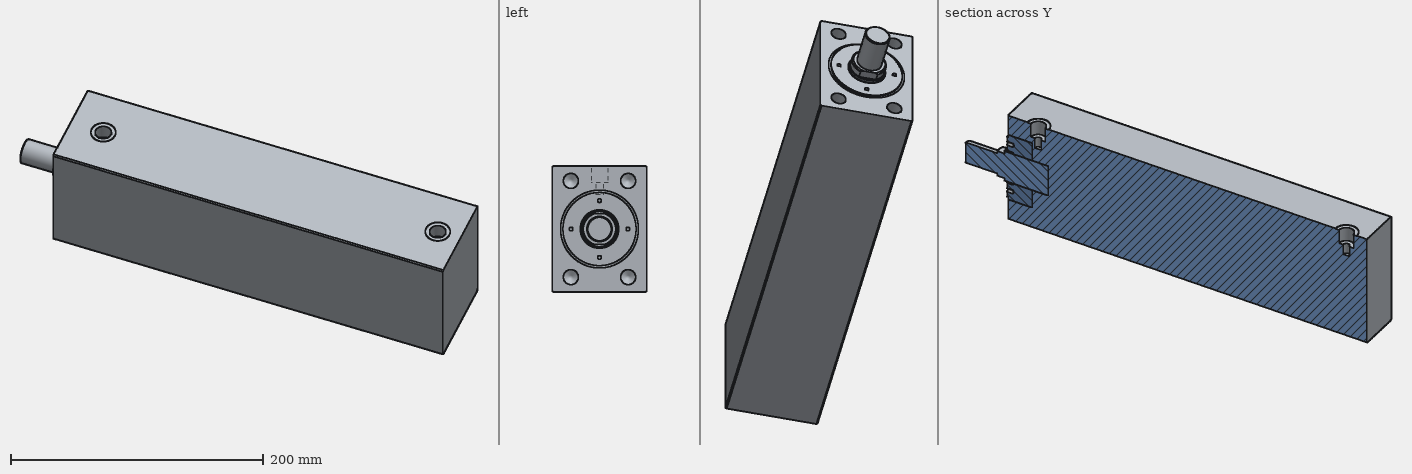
import cadquery as cq
import math

TOTAL_LENGTH = 372.0
HOUSING_WIDTH = 75.0
HOUSING_HEIGHT = 100.0
EDGE_CHAMFER = 1.0

ROD_DIAMETER = 28.0
ROD_STEP_CHAMFER = 1.0
STUD_DIAMETER = 20.0
STUD_LENGTH = 29.5
STUD_CHAMFER = 0.7
SPANNER_WIDTH = 24.0
SPANNER_LENGTH = 6.7
ROD_EMBEDDED_LENGTH = 37.2

GLAND_DIAMETER = 61.8
GLAND_FACE_DIAMETER = 58.0
GLAND_DEPTH = 22.5
GLAND_OVERHANG = 1.0
PIN_HOLE_DIAMETER = 3.0
PIN_HOLE_DEPTH = 5.5
PIN_HOLE_CIRCLE_DIAMETER = 45.0

WIPER_DIAMETER = 30.5
WIPER_DEPTH = 5.5
WIPER_LIP_DIAMETER = 29.0
WIPER_LIP_LENGTH = 2.2

MOUNT_HOLE_DIAMETER = 12.0
MOUNT_HOLE_DEPTH = 22.5
MOUNT_SPACING_Y = 45.5
MOUNT_SPACING_Z = 76.3
DRILL_TIP_ANGLE = 118.0

PORT_SEAT_DIAMETER = 19.7
PORT_SEAT_DEPTH = 0.5
PORT_THREAD_DIAMETER = 13.0
PORT_THREAD_DEPTH = 13.0
PORT_BORE_DIAMETER = 5.5
PORT_BORE_DEPTH = 22.5
FRONT_PORT_INSET = 28.0
REAR_PORT_INSET = 19.5

GLAND_FRONT_X = -GLAND_OVERHANG
WIPER_FRONT_X = GLAND_FRONT_X - WIPER_LIP_LENGTH
WIPER_BACK_X = GLAND_FRONT_X + WIPER_DEPTH
ROD_FRONT_X = WIPER_FRONT_X - SPANNER_LENGTH
STUD_FRONT_X = ROD_FRONT_X - STUD_LENGTH
HOUSING_LENGTH = TOTAL_LENGTH + STUD_FRONT_X


def cylinder_x(diameter, start_x, end_x):
    """Cylinder on the X axis."""
    return cq.Workplane("YZ", origin=(start_x, 0, 0)).circle(diameter / 2).extrude(end_x - start_x)


def drilled_hole(diameter, depth):
    """Blind hole cutter along +X from X = 0, with a conical drill tip."""
    radius = diameter / 2
    tip_length = radius / math.tan(math.radians(DRILL_TIP_ANGLE / 2))
    profile = [(0, 0), (0, radius), (depth, radius), (depth + tip_length, 0)]
    return cq.Workplane("XY").polyline(profile).close().revolve(360, (0, 0, 0), (1, 0, 0))


def port_cutter(x):
    """Stepped oil port going down from the housing top."""
    top = cq.Workplane("XY", origin=(x, 0, HOUSING_HEIGHT / 2))
    cutter = top.circle(PORT_SEAT_DIAMETER / 2).extrude(-PORT_SEAT_DEPTH)
    cutter = cutter.union(top.circle(PORT_THREAD_DIAMETER / 2).extrude(-PORT_THREAD_DEPTH))
    return cutter.union(top.circle(PORT_BORE_DIAMETER / 2).extrude(-PORT_BORE_DEPTH))


def make_housing():
    body = cq.Workplane("YZ").rect(HOUSING_WIDTH, HOUSING_HEIGHT).extrude(HOUSING_LENGTH)
    body = body.edges("|X").chamfer(EDGE_CHAMFER)
    body = body.cut(cylinder_x(GLAND_DIAMETER, 0, GLAND_DEPTH))
    body = body.cut(cylinder_x(ROD_DIAMETER, 0, ROD_EMBEDDED_LENGTH))
    mount_hole = drilled_hole(MOUNT_HOLE_DIAMETER, MOUNT_HOLE_DEPTH)
    for side_y in (-1, 1):
        for side_z in (-1, 1):
            place = (0, side_y * MOUNT_SPACING_Y / 2, side_z * MOUNT_SPACING_Z / 2)
            body = body.cut(mount_hole.translate(place))
    for port_x in (FRONT_PORT_INSET, HOUSING_LENGTH - REAR_PORT_INSET):
        body = body.cut(port_cutter(port_x))
    return body


def make_gland():
    body = cylinder_x(GLAND_DIAMETER, 0, GLAND_DEPTH)
    body = body.union(cylinder_x(GLAND_FACE_DIAMETER, GLAND_FRONT_X, 0))
    body = body.cut(cylinder_x(ROD_DIAMETER, GLAND_FRONT_X, GLAND_DEPTH))
    body = body.cut(cylinder_x(WIPER_DIAMETER, GLAND_FRONT_X, WIPER_BACK_X))
    pin_hole = drilled_hole(PIN_HOLE_DIAMETER, PIN_HOLE_DEPTH)
    first_hole = pin_hole.translate((GLAND_FRONT_X, PIN_HOLE_CIRCLE_DIAMETER / 2, 0))
    for angle in (0, 90, 180, 270):
        body = body.cut(first_hole.rotate((0, 0, 0), (1, 0, 0), angle))
    return body


def make_wiper():
    ring = cylinder_x(WIPER_DIAMETER, GLAND_FRONT_X, WIPER_BACK_X)
    ring = ring.union(cylinder_x(WIPER_LIP_DIAMETER, WIPER_FRONT_X, GLAND_FRONT_X))
    return ring.cut(cylinder_x(ROD_DIAMETER, WIPER_FRONT_X, WIPER_BACK_X))


def make_rod():
    rod = cylinder_x(ROD_DIAMETER, ROD_FRONT_X, ROD_EMBEDDED_LENGTH)
    rod = rod.faces("<X").chamfer(ROD_STEP_CHAMFER)
    for side in (-1, 1):
        flat = cq.Workplane("YZ").rect(ROD_DIAMETER, ROD_DIAMETER).extrude(SPANNER_LENGTH)
        offset_z = side * (SPANNER_WIDTH + ROD_DIAMETER) / 2
        rod = rod.cut(flat.translate((ROD_FRONT_X, 0, offset_z)))
    stud = cylinder_x(STUD_DIAMETER, STUD_FRONT_X, ROD_FRONT_X)
    return rod.union(stud.faces("<X").chamfer(STUD_CHAMFER))


housing = make_housing()
gland = make_gland()
wiper = make_wiper()
rod = make_rod()

result = cq.Compound.makeCompound([housing.val(), gland.val(), wiper.val(), rod.val()])